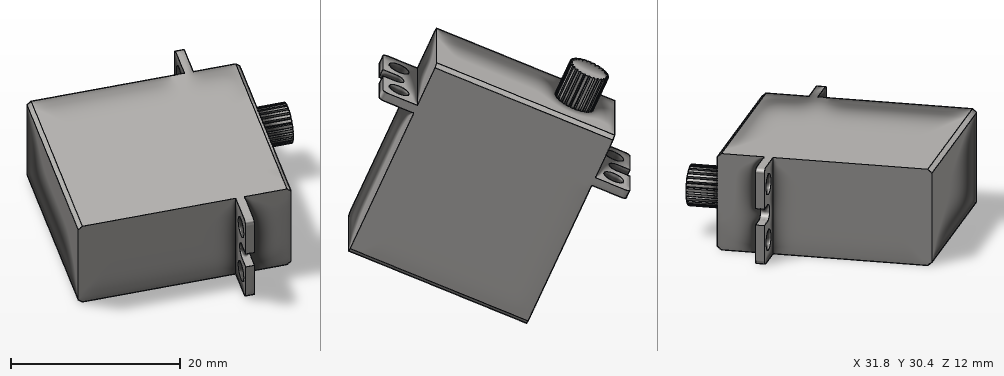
import cadquery as cq
import math

overall_length = 31.75
case_width = 22.85
case_depth = 25.95
case_height = 11.97
chamfer_depth = 0.5
chamfer_height = 0.45

ear_thickness = 1.08
ear_setback = 5.68
ear_corner_radius = 0.67
hole_diameter = 2.5
hole_end_offset = 2.1
hole_spacing = 6.92
slot_width = 2.03
slot_depth = 2.7

shaft_length = 4.45
shaft_diameter = 4.92
shaft_x = -6.22
tooth_count = 25
groove_depth = 0.3
tip_share = 0.6

case_back = case_depth / 2
ear_back = case_back - ear_setback


def make_case():
    """Box whose four long edges at the Y ends are chamfered."""
    half_height = case_height / 2
    flat_y = case_back - chamfer_depth
    flat_z = half_height - chamfer_height
    outline = [
        (-flat_y, -half_height),
        (flat_y, -half_height),
        (case_back, -flat_z),
        (case_back, flat_z),
        (flat_y, half_height),
        (-flat_y, half_height),
        (-case_back, flat_z),
        (-case_back, -flat_z),
    ]
    return cq.Workplane("YZ").polyline(outline).close().extrude(case_width / 2, both=True)


def make_ears():
    """Rounded plate with two holes and an open slot at each end."""
    plane = cq.Workplane("XZ", origin=(0, ear_back, 0))
    plate = plane.rect(overall_length, case_height).extrude(ear_thickness)
    plate = plate.edges("|Y").fillet(ear_corner_radius)
    hole_pitch = overall_length - 2 * hole_end_offset
    holes = plane.rect(hole_pitch, hole_spacing, forConstruction=True).vertices()
    holes = holes.circle(hole_diameter / 2).extrude(ear_thickness)
    slots = plane.pushPoints([(-overall_length / 2, 0), (overall_length / 2, 0)])
    slots = slots.slot2D(2 * slot_depth, slot_width).extrude(ear_thickness)
    return plate.cut(holes).cut(slots)


def make_shaft():
    """Output shaft with V grooves around it, one tooth tip pointing along +Z."""
    tip_radius = shaft_diameter / 2
    root_radius = tip_radius - groove_depth
    pitch = 2 * math.pi / tooth_count
    half_tip = pitch * tip_share / 2

    def polar(radius, angle):
        return (radius * math.sin(angle), radius * math.cos(angle))

    outline = cq.Workplane("XZ", origin=(shaft_x, case_back, 0))
    outline = outline.moveTo(*polar(tip_radius, -half_tip))
    for tooth in range(tooth_count):
        middle = tooth * pitch
        outline = outline.threePointArc(polar(tip_radius, middle), polar(tip_radius, middle + half_tip))
        outline = outline.lineTo(*polar(root_radius, middle + pitch / 2))
        outline = outline.lineTo(*polar(tip_radius, middle + pitch - half_tip))
    return outline.close().extrude(-shaft_length)


result = make_case().union(make_ears()).union(make_shaft())